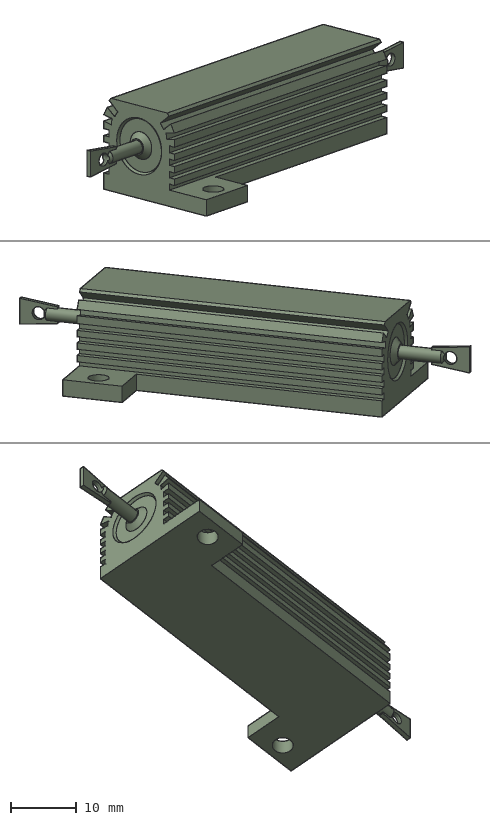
import cadquery as cq

body_length = 49.15
body_height = 14.8
fin_half_width = 7.1
core_half_width = 6.1
base_height = 2.6
fin_thickness = 1.0
fin_pitch = 1.995
first_fin_bottom = 3.55
straight_fin_count = 3

upper_fin_bottom = 9.65
upper_fin_tip = (fin_half_width, 10.9)
upper_slot_floor = [(5.6, 10.6), (5.45, 11.5)]
tilted_fin_tip = [(fin_half_width, 11.9), (6.4, 13.2)]
tilted_slot_floor = [(4.9, 12.0), (4.3, 12.9)]
top_edge = [(6.0, 14.35), (5.65, body_height)]

overall_width = 27.05
foot_length = 9.6
foot_hole_diameter = 3.2
foot_hole_inset = 2.75

axis_height = 8.35
recess_mouth_diameter = 9.0
recess_floor_diameter = 8.4
recess_depth = 0.4

overall_length = 72.5
collar_base_diameter = 4.35
collar_tip_diameter = 2.55
collar_projection = 0.4
pin_diameter = 2.1
pin_projection = 7.7
pin_chamfer = 0.4
tag_start = 5.6
tag_thickness = 0.7
tag_root_height = 2.7
tag_end_height = 4.1
tag_hole_diameter = 2.0
tag_hole_distance = 8.6

body_end = body_length / 2


def make_body():
    side = [(fin_half_width, 0), (fin_half_width, base_height), (core_half_width, base_height)]
    for index in range(straight_fin_count):
        bottom = first_fin_bottom + index * fin_pitch
        top = bottom + fin_thickness
        side += [
            (core_half_width, bottom),
            (fin_half_width, bottom),
            (fin_half_width, top),
            (core_half_width, top),
        ]
    side += [(core_half_width, upper_fin_bottom), (fin_half_width, upper_fin_bottom), upper_fin_tip]
    side += upper_slot_floor + tilted_fin_tip + tilted_slot_floor + top_edge
    mirrored_side = [(-x, z) for x, z in reversed(side)]
    return cq.Workplane("XZ").polyline(side + mirrored_side).close().extrude(body_end, both=True)


def make_foot():
    """Foot on the +X side, at the -Y end."""
    width = overall_width / 2 - core_half_width
    foot_y = -body_end + foot_length / 2
    foot = (
        cq.Workplane("XY")
        .center(core_half_width + width / 2, foot_y)
        .rect(width, foot_length)
        .extrude(base_height)
    )
    hole = (
        cq.Workplane("XY")
        .center(overall_width / 2 - foot_hole_inset, foot_y)
        .circle(foot_hole_diameter / 2)
        .extrude(base_height)
    )
    return foot.cut(hole)


def revolve_about_lead(profile):
    """Revolve (radius, Y) points about the lead axis."""
    return (
        cq.Workplane("XY", origin=(0, 0, axis_height))
        .polyline(profile)
        .close()
        .revolve(360, (0, 0, 0), (0, 1, 0))
    )


def make_recess():
    """Tapered recess at the +Y end."""
    return revolve_about_lead([
        (0, body_end - recess_depth),
        (recess_floor_diameter / 2, body_end - recess_depth),
        (recess_mouth_diameter / 2, body_end),
        (0, body_end),
    ])


def make_lead():
    """Complete lead at the +Y end."""
    floor_y = body_end - recess_depth
    collar_y = body_end + collar_projection
    pin_end = body_end + pin_projection
    pin_radius = pin_diameter / 2
    pin = revolve_about_lead([
        (0, floor_y),
        (collar_base_diameter / 2, floor_y),
        (collar_tip_diameter / 2, collar_y),
        (pin_radius, collar_y),
        (pin_radius, pin_end - pin_chamfer),
        (pin_radius - pin_chamfer, pin_end),
        (0, pin_end),
    ])
    tag_y = body_end + tag_start
    tag_end = overall_length / 2
    side_plane = cq.Workplane("YZ", origin=(0, 0, axis_height))
    tag = (
        side_plane.polyline([
            (tag_y, -tag_root_height / 2),
            (tag_end, -tag_end_height / 2),
            (tag_end, tag_end_height / 2),
            (tag_y, tag_root_height / 2),
        ])
        .close()
        .extrude(tag_thickness / 2, both=True)
    )
    hole = (
        side_plane.center(body_end + tag_hole_distance, 0)
        .circle(tag_hole_diameter / 2)
        .extrude(pin_diameter, both=True)
    )
    return pin.union(tag).cut(hole)


def half_turn(shape):
    return shape.rotate((0, 0, 0), (0, 0, 1), 180)


foot = make_foot()
recess = make_recess()
lead = make_lead()

result = make_body().union(foot).union(half_turn(foot))
result = result.cut(recess).cut(half_turn(recess))
result = result.union(lead).union(half_turn(lead))